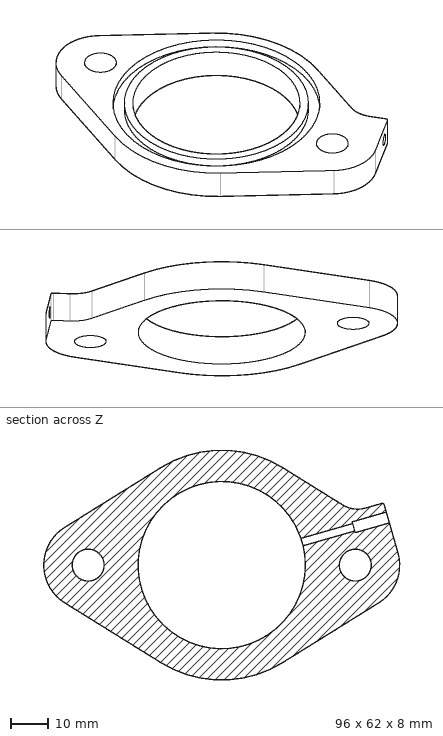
import cadquery as cq
import math

length = 96.0
width = 62.0
thickness = 8.0

end_radius = 12.0
body_radius = width / 2
bolt_offset = length / 2 - end_radius
bolt_diameter = 8.5

bore_diameter = 45.0
groove_inner_diameter = 49.6
groove_outer_diameter = 55.8
groove_depth = 2.3

port_angle = 16.0
lug_half_width = 4.1
lug_fillet = 7.7
lug_corner_radius = 0.6

port_diameter = 2.0
port_height = thickness / 2
port_entry_diameter = 3.0
port_entry_depth = 9.6

lug_face_distance = bolt_offset * math.cos(math.radians(port_angle)) + end_radius


def make_flange():
    """Central disc and two end rounds joined by common tangent lines."""
    tangent_sine = (body_radius - end_radius) / bolt_offset
    tangent_cosine = math.sqrt(1 - tangent_sine**2)
    body_x = body_radius * tangent_sine
    body_y = body_radius * tangent_cosine
    end_x = bolt_offset + end_radius * tangent_sine
    end_y = end_radius * tangent_cosine
    return (
        cq.Workplane("XY")
        .moveTo(-body_x, body_y)
        .threePointArc((0, body_radius), (body_x, body_y))
        .lineTo(end_x, end_y)
        .threePointArc((length / 2, 0), (end_x, -end_y))
        .lineTo(body_x, -body_y)
        .threePointArc((0, -body_radius), (-body_x, -body_y))
        .lineTo(-end_x, -end_y)
        .threePointArc((-length / 2, 0), (-end_x, end_y))
        .close()
        .extrude(thickness)
    )


def along_port(distance, offset):
    """Point at a distance along the port axis and an offset to its left."""
    angle = math.radians(port_angle)
    x = distance * math.cos(angle) - offset * math.sin(angle)
    y = distance * math.sin(angle) + offset * math.cos(angle)
    return x, y


def make_lug():
    """Block from the body to the lug face, ending where that face meets the end round."""
    tangent_offset = -bolt_offset * math.sin(math.radians(port_angle))
    return (
        cq.Workplane("XY")
        .polyline([
            along_port(bore_diameter / 2 + lug_half_width, lug_half_width),
            along_port(lug_face_distance, lug_half_width),
            along_port(lug_face_distance, tangent_offset),
            (bolt_offset, 0),
        ])
        .close()
        .extrude(thickness)
    )


def edge_near(body, x, y):
    """Vertical edge of the body closest to a point in plan."""
    return body.edges("|Z").edges(cq.selectors.NearestToPointSelector((x, y, thickness / 2)))


def round_lug(body):
    """Blend the lug into the flange side and ease its outer corner."""
    side_angle = math.acos((body_radius - end_radius) / bolt_offset)
    turn = side_angle - math.radians(port_angle)
    root_distance = (body_radius - lug_half_width * math.sin(turn)) / math.cos(turn)
    body = edge_near(body, *along_port(root_distance, lug_half_width)).fillet(lug_fillet)
    return edge_near(body, *along_port(lug_face_distance, lug_half_width)).fillet(lug_corner_radius)


def make_groove():
    """Ring removed from the top face around the bore."""
    return (
        cq.Workplane("XY", origin=(0, 0, thickness - groove_depth))
        .circle(groove_outer_diameter / 2)
        .circle(groove_inner_diameter / 2)
        .extrude(groove_depth)
    )


def make_port():
    """Stepped radial drilling from the bore to the lug face."""
    axis = cq.Vector(*along_port(1, 0), 0)
    center = cq.Vector(0, 0, port_height)
    entry_start = center + axis * (lug_face_distance - port_entry_depth)
    port = cq.Solid.makeCylinder(port_diameter / 2, lug_face_distance, center, axis)
    entry = cq.Solid.makeCylinder(port_entry_diameter / 2, port_entry_depth, entry_start, axis)
    return port.fuse(entry)


result = round_lug(make_flange().union(make_lug()))
result = result.cut(cq.Workplane("XY").circle(bore_diameter / 2).extrude(thickness))
for side in (-1, 1):
    bolt_hole = cq.Workplane("XY").center(side * bolt_offset, 0).circle(bolt_diameter / 2)
    result = result.cut(bolt_hole.extrude(thickness))
result = result.cut(make_groove())
result = result.cut(cq.Workplane(make_port()))